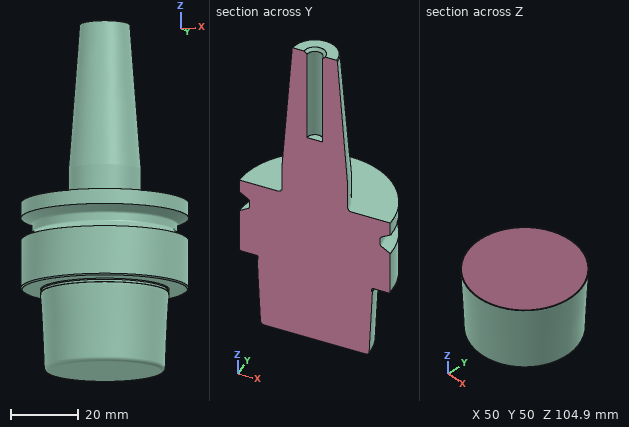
import cadquery as cq
import math

total_height = 104.9
taper_bottom_z = 1.3
taper_top_z = 22.9
relief_bottom_z = 23.7
relief_top_z = 24.4
body_bottom_z = 24.8
groove_bottom_z = 39.5
groove_top_z = 46.3
flange_top_z = 50.8
nose_taper_z = 60.6

flange_radius = 25.02
groove_radius = 21.7
taper_small_radius = 18.0
taper_large_radius = 19.1
relief_radius = 18.9
nose_radius = 10.9
tip_radius = 7.6
bore_radius = 2.5

end_round = 1.3
body_chamfer = 0.4
groove_fillet = 0.6
nose_fillet = 1.3
tip_chamfer = 0.3
bore_chamfer = 0.9
bore_depth = 31.5
groove_flank_angle = math.radians(30)

flank_height = (flange_radius - groove_radius) * math.tan(groove_flank_angle)


def revolve_profile(points):
    """Turn a closed (radius, height) outline about the Z axis."""
    return cq.Workplane("XZ").polyline(points).close().revolve(360, (0, 0, 0), (0, 1, 0))


def edges_at(radius, z):
    """Select the circular edges of one radius at one height."""
    margin = 0.05
    return cq.selectors.BoxSelector(
        (-radius - margin, -radius - margin, z - margin),
        (radius + margin, radius + margin, z + margin),
        boundingbox=True,
    )


def make_taper_shank():
    """Lower taper with a rounded end and a shallow relief under the body."""
    end_radius = taper_small_radius - end_round
    profile = (
        cq.Workplane("XZ")
        .lineTo(end_radius, 0)
        .radiusArc((taper_small_radius, taper_bottom_z), -end_round)
        .lineTo(taper_large_radius, taper_top_z)
        .lineTo(taper_large_radius, relief_bottom_z)
        .lineTo(relief_radius, relief_bottom_z)
        .lineTo(relief_radius, relief_top_z)
        .lineTo(taper_large_radius, body_bottom_z)
        .lineTo(0, body_bottom_z)
        .close()
    )
    return profile.revolve(360, (0, 0, 0), (0, 1, 0))


def make_flange_and_nose():
    """Grooved flange body with the slender tapered nose above it."""
    groove_floor_bottom = groove_bottom_z + flank_height
    groove_floor_top = groove_top_z - flank_height
    body = revolve_profile([
        (0, body_bottom_z),
        (flange_radius - body_chamfer, body_bottom_z),
        (flange_radius, body_bottom_z + body_chamfer),
        (flange_radius, groove_bottom_z),
        (groove_radius, groove_floor_bottom),
        (groove_radius, groove_floor_top),
        (flange_radius, groove_top_z),
        (flange_radius, flange_top_z),
        (nose_radius, flange_top_z),
        (nose_radius, nose_taper_z),
        (tip_radius, total_height - tip_chamfer),
        (tip_radius - tip_chamfer, total_height),
        (0, total_height),
    ])
    for z in (groove_floor_bottom, groove_floor_top):
        body = body.edges(edges_at(groove_radius, z)).fillet(groove_fillet)
    return body.edges(edges_at(nose_radius, flange_top_z)).fillet(nose_fillet)


def make_bore():
    """Blind, flat-bottomed bore with a 45 degree countersink at the tip."""
    bore_floor_z = total_height - bore_depth
    return revolve_profile([
        (0, bore_floor_z),
        (bore_radius, bore_floor_z),
        (bore_radius, total_height - bore_chamfer),
        (bore_radius + bore_chamfer, total_height),
        (0, total_height),
    ])


result = make_taper_shank().union(make_flange_and_nose()).cut(make_bore())